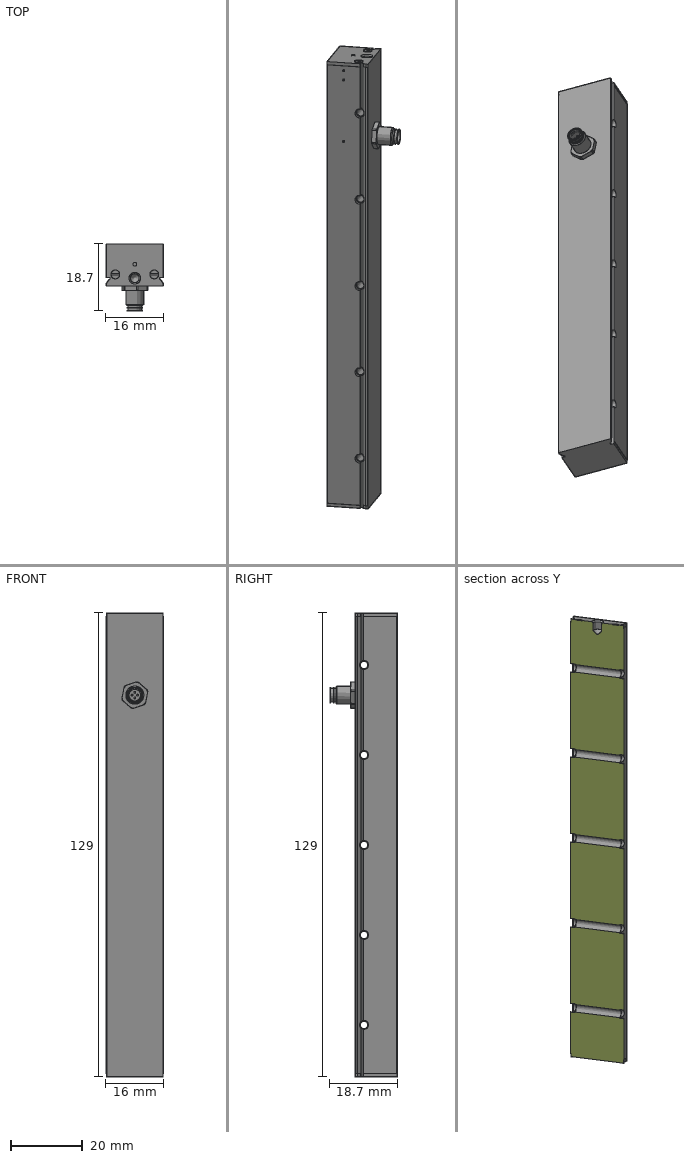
import cadquery as cq
import math

length = 129.0
width = 16.0
overall_depth = 18.7
housing_depth = 11.7
edge_chamfer = 0.19
cap_thickness = 0.9
cap_side_inset = 0.1

groove_back = 9.4
groove_floor_end = 9.8
groove_bend = 10.3
groove_front = 11.1
groove_depth = 1.0
groove_bend_depth = 0.5

cross_hole_back_distance = 9.3
cross_hole_count = 5
cross_hole_pitch = 25.0
cross_hole_diameter = 2.0
cross_hole_mouth_diameter = 2.5
cross_hole_mouth_depth = 0.3

connector_drop = 22.8
nut_corner_diameter = 7.7
nut_rounding_diameter = 7.5
nut_thickness = 1.3
nut_turn = 19.0
nut_chamfer = 0.1
barrel_diameter = 5.0
barrel_end = 17.2
barrel_chamfer = 0.32
tip_diameter = 4.3
tip_groove_diameter = 3.9
rim_thickness = 0.1
rim_spacing = 0.9
socket_diameter = 3.2
socket_depth = 3.2
pin_count = 4
pin_diameter = 0.5
pin_circle_diameter = 1.5
pin_length = 1.3

mark_diameter = 0.5
mark_depth = 0.3
mark_back_distance = 4.8
mark_drops = (2.3, 5.0, connector_drop)

screw_offset = 5.4
screw_back_distance = 8.5
screw_diameter = 2.5
screw_recess = 0.1
slot_width = 0.4
slot_depth = 0.4
port_back_distance = 9.5
port_diameter = 2.5
port_mouth_diameter = 3.2
port_depth = 2.6
lamp_diameter = 1.0
lamp_back_distance = 5.7
lamp_depth = 0.3

half_length = length / 2
half_width = width / 2
connector_height = half_length - connector_drop
socket_floor = overall_depth - socket_depth


def bar(bottom, height, side, chamfer=0):
    """Stretch of the grooved cross-section with its sides at X = +/-side and optional corner chamfers."""
    outline = [
        (side - chamfer, 0),
        (side, -chamfer),
        (side, -groove_back),
        (half_width - groove_depth, -groove_back),
        (half_width - groove_depth, -groove_floor_end),
        (half_width - groove_bend_depth, -groove_bend),
        (side, -groove_front),
        (side, -housing_depth + chamfer),
        (side - chamfer, -housing_depth),
    ]
    if chamfer == 0:
        outline = outline[1:-1]
    outline += [(-x, y) for x, y in reversed(outline)]
    return cq.Workplane("XY", origin=(0, 0, bottom)).polyline(outline).close().extrude(height)


def front_rod(diameter, start, end, x=0, rise=0):
    """Cylinder along -Y between two distances from the back face, placed about the connector axis."""
    plane = cq.Workplane("XZ", origin=(x, -start, connector_height + rise))
    return plane.circle(diameter / 2).extrude(end - start)


def side_hole(x, back_distance, z, diameter, depth):
    """Cylinder along X starting at x; a negative depth runs towards -X."""
    return cq.Workplane("YZ", origin=(x, -back_distance, z)).circle(diameter / 2).extrude(depth)


def top_hole(x, back_distance, diameter, depth):
    """Cylinder sunk from the top end."""
    plane = cq.Workplane("XY", origin=(x, -back_distance, half_length))
    return plane.circle(diameter / 2).extrude(-depth)


def housing():
    """Main bar closed by a slightly narrower cap at each end."""
    body = bar(-half_length + cap_thickness, length - 2 * cap_thickness, half_width, edge_chamfer)
    for bottom in (-half_length, half_length - cap_thickness):
        body = body.union(bar(bottom, cap_thickness, half_width - cap_side_inset))
    return body


def connector():
    """Hexagon nut, barrel and ribbed tip with a pin socket."""
    nut_end = housing_depth + nut_thickness
    nut_plane = cq.Workplane("XZ", origin=(0, -housing_depth, connector_height))
    nut_plane = nut_plane.transformed(rotate=(0, 0, nut_turn))
    nut = nut_plane.polygon(6, nut_corner_diameter).extrude(nut_thickness)
    nut_limit = front_rod(nut_rounding_diameter, housing_depth, nut_end).faces("<Y").chamfer(nut_chamfer)
    solid = nut.intersect(nut_limit)
    barrel = front_rod(barrel_diameter, nut_end, barrel_end).faces("<Y").chamfer(barrel_chamfer)
    solid = solid.union(barrel)
    solid = solid.union(front_rod(tip_groove_diameter, barrel_end, overall_depth))
    for rim_end in (overall_depth, overall_depth - rim_spacing):
        solid = solid.union(front_rod(tip_diameter, rim_end - rim_thickness, rim_end))
    solid = solid.cut(front_rod(socket_diameter, socket_floor, overall_depth))
    for i in range(pin_count):
        angle = 2 * math.pi * i / pin_count
        x = pin_circle_diameter / 2 * math.cos(angle)
        rise = pin_circle_diameter / 2 * math.sin(angle)
        solid = solid.union(front_rod(pin_diameter, socket_floor, socket_floor + pin_length, x, rise))
    return solid


def cross_holes():
    """Through holes along X, each widened where it meets the two sides."""
    mouth_reach = groove_depth + cross_hole_mouth_depth
    cutter = cq.Workplane("XY")
    mouth = cross_hole_mouth_diameter
    for i in range(cross_hole_count):
        z = (i - (cross_hole_count - 1) / 2) * cross_hole_pitch
        cutter = cutter.add(side_hole(-half_width, cross_hole_back_distance, z, cross_hole_diameter, width))
        cutter = cutter.add(side_hole(-half_width, cross_hole_back_distance, z, mouth, mouth_reach))
        cutter = cutter.add(side_hole(half_width, cross_hole_back_distance, z, mouth, -mouth_reach))
    return cutter.combine()


def slotted_screw(x):
    """Shallow round recess with a narrow slot across its floor."""
    plane = cq.Workplane("XY", origin=(x, -screw_back_distance, half_length))
    slot = plane.rect(screw_diameter, slot_width).extrude(-slot_depth)
    slot = slot.intersect(top_hole(x, screw_back_distance, screw_diameter, slot_depth))
    return top_hole(x, screw_back_distance, screw_diameter, screw_recess).union(slot)


def port():
    """Round hole with a countersunk mouth and a drill-point bottom."""
    radius = port_diameter / 2
    mouth_radius = port_mouth_diameter / 2
    half_section = [
        (0, 0),
        (mouth_radius, 0),
        (radius, radius - mouth_radius),
        (radius, -port_depth),
        (0, -port_depth - radius),
    ]
    plane = cq.Workplane("XZ", origin=(0, -port_back_distance, half_length))
    return plane.polyline(half_section).close().revolve(360, (0, 0), (0, 1))


result = housing().union(connector()).cut(cross_holes())

for drop in mark_drops:
    mark = side_hole(-half_width, mark_back_distance, half_length - drop, mark_diameter, mark_depth)
    result = result.cut(mark)

for screw_x in (-screw_offset, screw_offset):
    result = result.cut(slotted_screw(screw_x))
result = result.cut(port())
result = result.cut(top_hole(0, lamp_back_distance, lamp_diameter, lamp_depth))